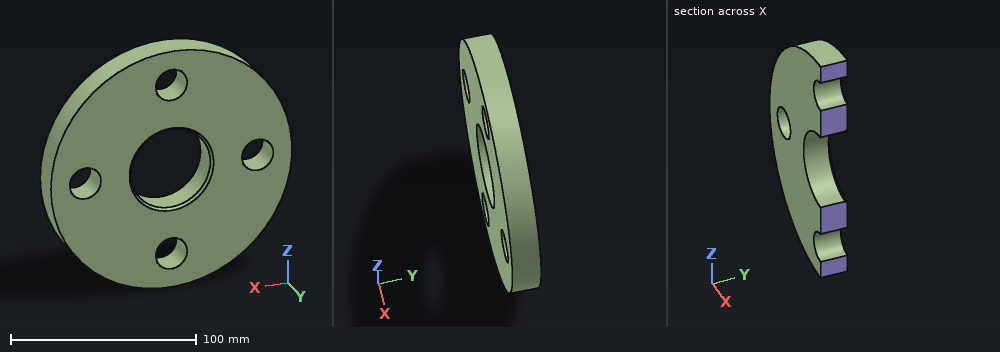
import cadquery as cq

outer_diameter = 140.0
thickness = 16.0
bore_diameter = 46.0
bore_chamfer = 1.4
bolt_hole_diameter = 18.0
bolt_circle_diameter = 100.0
bolt_hole_count = 4


def make_disc():
    """Disc centred on the origin, with its flat faces normal to Y."""
    return cq.Workplane("XZ", origin=(0, thickness / 2, 0)).circle(outer_diameter / 2).extrude(thickness)


def cut_bore(body):
    """Central through bore."""
    return body.faces("<Y").workplane(origin=(0, 0, 0)).hole(bore_diameter)


def cut_bolt_holes(body):
    """Through holes equally spaced on the bolt circle, the first on the X axis."""
    return (
        body.faces("<Y")
        .workplane(origin=(0, 0, 0))
        .polarArray(bolt_circle_diameter / 2, 0, 360, bolt_hole_count)
        .hole(bolt_hole_diameter)
    )


def chamfer_bore(body):
    """Break the bore's edge on the +Y face."""
    bore_edge = cq.selectors.RadiusNthSelector(0)
    return body.faces(">Y").edges(bore_edge).chamfer(bore_chamfer)


result = cut_bolt_holes(chamfer_bore(cut_bore(make_disc())))